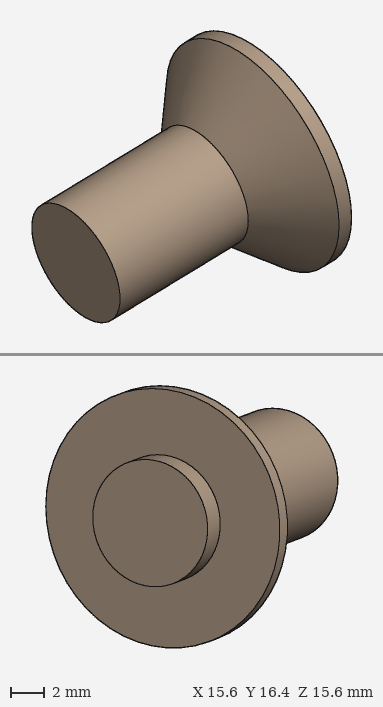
import cadquery as cq

total_length = 16.4
shank_diameter = 7.95
shank_length = 10.0
flange_diameter = 15.55
rim_thickness = 0.98
boss_diameter = 7.63

shank_radius = shank_diameter / 2
flange_radius = flange_diameter / 2
boss_radius = boss_diameter / 2
cone_length = flange_radius - shank_radius

cone_start = shank_length
rim_start = cone_start + cone_length
rim_end = rim_start + rim_thickness

result = (
    cq.Workplane("XY")
    .moveTo(0, 0)
    .lineTo(shank_radius, 0)
    .lineTo(shank_radius, cone_start)
    .lineTo(flange_radius, rim_start)
    .lineTo(flange_radius, rim_end)
    .lineTo(boss_radius, rim_end)
    .lineTo(boss_radius, total_length)
    .lineTo(0, total_length)
    .close()
    .revolve(360, (0, 0, 0), (0, 1, 0))
)